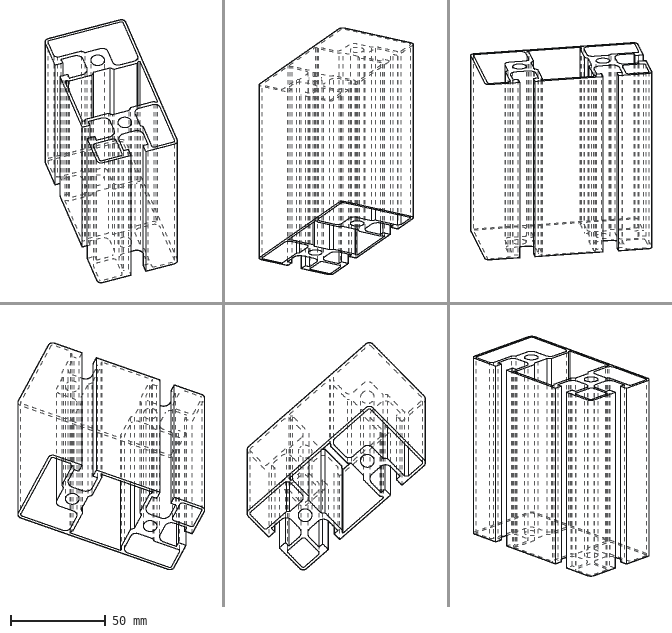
import cadquery as cq

width = 90.0
depth = 45.0
length = 100.0
outer_radius = 2.5
wall = 1.5

core_x = width / 4
core_half = 7.1
core_radius = 3.0
bore_diameter = 7.2

slot_half = 6.8
mouth_half = 4.1
lip = 4.4
slot_radius = 3.8

web_face = 8.7
side_web_face = 8.3
flare_start = 4.6
flare_end = flare_start + web_face - core_half
side_flare_end = flare_start + side_web_face - core_half

corner_radius = 1.0
foot_chamfer = 1.5
web_corner_radius = 1.5
recess_depth = 0.8
recess_height = 1.0

inner_x = width / 2 - wall
inner_y = depth / 2 - wall


def prism(points):
    """Full-length solid with a polygonal section."""
    return cq.Workplane("XY").polyline(points).close().extrude(length)


def fillet_at(body, points, radius):
    """Round the vertical edges that pass through the given section points."""
    for x, y in points:
        body = body.edges(cq.selectors.NearestToPointSelector((x, y, length / 2))).fillet(radius)
    return body


def slot(core_position, core_to_face):
    """T-slot opening toward -Y from a core on the X axis."""
    lip_y = lip - core_to_face
    chamber = prism([
        (-slot_half, lip_y),
        (slot_half, lip_y),
        (slot_half, -core_half),
        (-slot_half, -core_half),
    ])
    floor_corners = [(-slot_half, -core_half), (slot_half, -core_half)]
    chamber = fillet_at(chamber, floor_corners, slot_radius)
    mouth = prism([
        (-mouth_half, -core_to_face),
        (mouth_half, -core_to_face),
        (mouth_half, lip_y),
        (-mouth_half, lip_y),
    ])
    return chamber.union(mouth).translate((core_position, 0, 0))


def left_cavity():
    """L-shaped cavity wrapping around the left core."""
    x = -core_x
    upper_corners = [(x + slot_half, inner_y), (x + slot_half, core_half)]
    core_corner = (x - core_half, core_half)
    wall_corners = [(-inner_x, -inner_y), (-inner_x, inner_y)]
    cavity = prism([
        wall_corners[0],
        wall_corners[1],
        *upper_corners,
        core_corner,
        (x - core_half, -flare_start),
        (x - web_face, -flare_end),
        (x - web_face, -inner_y + foot_chamfer),
        (x - web_face - foot_chamfer, -inner_y),
    ])
    cavity = fillet_at(cavity, upper_corners + [core_corner], core_radius)
    return fillet_at(cavity, wall_corners, corner_radius)


def middle_cavity():
    """Cavity between the cores, with small recesses in its four corners."""
    web_x = core_x - web_face
    recess_x = web_x + recess_depth
    quarter = [
        (recess_x, inner_y),
        (recess_x, inner_y - recess_height),
        (web_x, inner_y - recess_height - recess_depth),
        (web_x, flare_end),
        (core_x - core_half, flare_start),
    ]
    right_side = quarter + [(x, -y) for x, y in reversed(quarter)]
    left_side = [(-x, y) for x, y in reversed(right_side)]
    return prism(right_side + left_side)


def upper_right_cavity():
    """Cavity between the right core, the top wall and the side slot."""
    left_corners = [(core_x - slot_half, core_half), (core_x - slot_half, inner_y)]
    wall_corners = [(inner_x, inner_y), (inner_x, side_web_face)]
    cavity = prism([
        *left_corners,
        *wall_corners,
        (core_x + side_flare_end, side_web_face),
        (core_x + flare_start, core_half),
    ])
    cavity = fillet_at(cavity, left_corners, core_radius)
    return fillet_at(cavity, wall_corners, corner_radius)


def lower_right_cavity():
    """Small cavity in the corner between the two right-hand slots."""
    web_x = core_x + web_face
    web_corners = [(web_x, -inner_y), (web_x, -side_web_face)]
    wall_corners = [(inner_x, -side_web_face), (inner_x, -inner_y)]
    cavity = prism(web_corners + wall_corners)
    cavity = fillet_at(cavity, web_corners, web_corner_radius)
    return fillet_at(cavity, wall_corners, corner_radius)


def side_slot():
    """T-slot opening toward +X from the right core."""
    core_to_face = width / 2 - core_x
    return slot(0, core_to_face).rotate((0, 0, 0), (0, 0, 1), 90).translate((core_x, 0, 0))


result = (
    cq.Workplane("XY")
    .rect(width, depth)
    .extrude(length)
    .edges("|Z")
    .fillet(outer_radius)
)
for cavity in (left_cavity(), middle_cavity(), upper_right_cavity(), lower_right_cavity(), side_slot()):
    result = result.cut(cavity)

for x in (-core_x, core_x):
    bore = cq.Workplane("XY").center(x, 0).circle(bore_diameter / 2).extrude(length)
    result = result.cut(slot(x, depth / 2)).cut(bore)